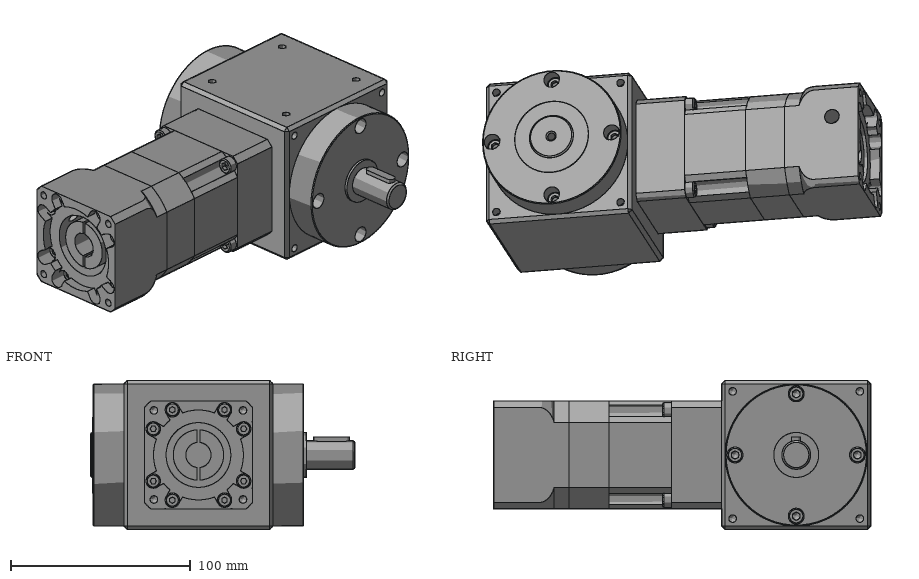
import cadquery as cq
import math


CUBE = 83.0
CUBE_CHAMFER = 2.0
FLANGE_DIA = 79.0
FLANGE_FACE = 58.5
FLANGE_RIM_CHAMFER = 0.5
COVER_DIA = 42.0
COVER_HEIGHT = 0.5
FLANGE_SCREW_CIRCLE = 68.0
FLANGE_SCREW_DEPTH = 8.0
SIDE_TAP_CIRCLE = 100.0
TOP_TAP_CIRCLE = 80.0
TAP_DEPTH = 8.0

TAP_DIA = 4.2
DRILL_POINT_ANGLE = 118.0
LARGE_HEAD_DIA = 8.8
LARGE_SOCKET_FLATS = 4.0
SMALL_HEAD_DIA = 8.0
SMALL_SOCKET_FLATS = 3.0
HEAD_HEIGHT = 5.0
HEAD_CHAMFER = 0.7
SOCKET_DEPTH = 2.5

JOURNAL_DIA = 25.0
JOURNAL_HALF = 60.0
JOURNAL_CHAMFER = 0.8
SHAFT_DIA = 16.0
SHAFT_END = 87.0
SHAFT_CHAMFER = 1.0
KEY_LENGTH = 20.0
KEY_WIDTH = 5.0
KEY_HEIGHT = 5.0
KEY_TOP = 10.0
KEY_END_GAP = 3.0
CENTRE_HOLE_DEPTH = 10.0
CENTRE_HOLE_CHAMFER = 0.8

SQUARE = 60.0
WIDE_CORNER_DIA = 80.0
NARROW_CORNER_DIA = 70.0
CORNER_SCREW_CIRCLE = 70.0
OVERALL_LENGTH = 209.7
ADAPTER_FRONT = -69.3
GROOVED_FRONT = -104.1
RING_FRONT = -126.3
SHOULDER = -134.5
MOTOR_FACE = CUBE / 2 - OVERALL_LENGTH
SHOULDER_ROUND = 10.0

PILOT_DIA = 50.0
PILOT_DEPTH = 5.5
RECESS_DIA = 36.0
RECESS_DEPTH = 30.0
MOTOR_SCREW_CIRCLE = 58.0
MOTOR_SCREW_ANGLES = (30, 60)
MOTOR_SCREW_DEPTH = 9.0
ACCESS_DIA = 8.2
ACCESS_FROM_FACE = 15.0
ACCESS_Z = 10.0

HUB_DIA = 28.0
HUB_BORE = 14.0
HUB_FACE_DEPTH = 6.5
HUB_SLIT_WIDTH = 1.5
HUB_BASE_THICKNESS = 5.0

X_DIR = cq.Vector(1, 0, 0)
Y_DIR = cq.Vector(0, 1, 0)
Z_DIR = cq.Vector(0, 0, 1)


def cylinder(dia, start, end, direction):
    """Cylinder on a main axis, from one coordinate on that axis to a higher one."""
    return cq.Workplane(cq.Solid.makeCylinder(dia / 2, end - start, direction * start, direction))


def place(shape, point, direction):
    """Move a shape built along +Z so that its axis runs from point along direction."""
    return cq.Workplane(shape.val().located(cq.Plane(origin=point, normal=direction).location))


def diagonal_points(circle_dia):
    """The four 45-degree points of a hole circle."""
    offset = circle_dia / 2 * math.sqrt(0.5)
    return [(a * offset, b * offset) for a in (-1, 1) for b in (-1, 1)]


def drilled_hole(depth):
    """Blind tapping hole along +Z that ends in a drill point."""
    radius = TAP_DIA / 2
    point_length = radius / math.tan(math.radians(DRILL_POINT_ANGLE / 2))
    profile = cq.Workplane("XZ").polyline([(0, 0), (radius, 0), (radius, depth), (0, depth + point_length)])
    return profile.close().revolve(360, (0, 0), (0, 1))


def screw_head(dia, socket_flats):
    """Socket head that stands on z = 0, its hexagon socket opening at the top."""
    head = cq.Workplane().circle(dia / 2).extrude(HEAD_HEIGHT).faces(">Z").chamfer(HEAD_CHAMFER)
    socket_corners = socket_flats / math.cos(math.pi / 6)
    return head.faces(">Z").workplane().polygon(6, socket_corners).cutBlind(-SOCKET_DEPTH)


def sunk_screw(dia, socket_flats, depth):
    """Cutter along +Z for a hole with a screw head at its bottom, its top at the given depth."""
    hole = cq.Workplane().circle(dia / 2).extrude(depth + HEAD_HEIGHT)
    head = screw_head(dia, socket_flats).rotate((0, 0, 0), (1, 0, 0), 180)
    return hole.cut(head.translate((0, 0, depth + HEAD_HEIGHT)))


def square_section(corner_dia, front, back):
    """Square bar along Y with its corners turned to a diameter."""
    bar = cq.Workplane().box(SQUARE, back - front, SQUARE).translate((0, (front + back) / 2, 0))
    return bar.intersect(cylinder(corner_dia, front, back, Y_DIR))


def output_flange(side):
    """Round flange on the +X or -X side of the cube, with four sunk screws."""
    direction = X_DIR * side
    flange = cylinder(FLANGE_DIA, 0, FLANGE_FACE, direction)
    flange = flange.faces(">X" if side > 0 else "<X").chamfer(FLANGE_RIM_CHAMFER)
    if side < 0:
        flange = flange.union(cylinder(COVER_DIA, 0, FLANGE_FACE + COVER_HEIGHT, direction))
    screw = sunk_screw(LARGE_HEAD_DIA, LARGE_SOCKET_FLATS, FLANGE_SCREW_DEPTH)
    screw = screw.union(drilled_hole(FLANGE_SCREW_DEPTH + SOCKET_DEPTH))
    radius = FLANGE_SCREW_CIRCLE / 2
    for y, z in ((radius, 0), (-radius, 0), (0, radius), (0, -radius)):
        flange = flange.cut(place(screw, (side * FLANGE_FACE, y, z), direction * -1))
    return flange


def gearbox_housing():
    """Cube, output flanges, input adapter and the adapter's four corner screws."""
    body = cq.Workplane().box(CUBE, CUBE, CUBE).edges().chamfer(CUBE_CHAMFER)
    for side in (-1, 1):
        body = body.union(output_flange(side))
    body = body.union(square_section(WIDE_CORNER_DIA, ADAPTER_FRONT, 0))
    tap = drilled_hole(TAP_DEPTH)
    for y, z in diagonal_points(SIDE_TAP_CIRCLE):
        for side in (-1, 1):
            body = body.cut(place(tap, (side * CUBE / 2, y, z), X_DIR * -side))
    for x, y in diagonal_points(TOP_TAP_CIRCLE):
        body = body.cut(place(tap, (x, y, CUBE / 2), Z_DIR * -1))
    head = screw_head(LARGE_HEAD_DIA, LARGE_SOCKET_FLATS)
    for x, z in diagonal_points(CORNER_SCREW_CIRCLE):
        body = body.union(place(head, (x, ADAPTER_FRONT, z), Y_DIR * -1))
    return body.cut(cylinder(JOURNAL_DIA, -JOURNAL_HALF, JOURNAL_HALF, X_DIR))


def output_shaft():
    """Journal through the housing and shaft end with its key, as one piece."""
    journal = cylinder(JOURNAL_DIA, -JOURNAL_HALF, JOURNAL_HALF, X_DIR).faces("<X").chamfer(JOURNAL_CHAMFER)
    shaft = journal.union(cylinder(SHAFT_DIA, 0, SHAFT_END, X_DIR).faces(">X").chamfer(SHAFT_CHAMFER))
    key_x = SHAFT_END - KEY_END_GAP - KEY_LENGTH / 2
    key = cq.Workplane().slot2D(KEY_LENGTH, KEY_WIDTH).extrude(-KEY_HEIGHT).translate((key_x, 0, KEY_TOP))
    centre_hole = drilled_hole(CENTRE_HOLE_DEPTH)
    countersink = cq.Workplane(
        cq.Solid.makeCone(TAP_DIA / 2 + CENTRE_HOLE_CHAMFER, TAP_DIA / 2, CENTRE_HOLE_CHAMFER)
    )
    cutter = centre_hole.union(countersink)
    return shaft.union(key).cut(place(cutter, (-JOURNAL_HALF, 0, 0), X_DIR))


def grooved_ring():
    """Ring gear with a round groove in each corner that clears the adapter's screws."""
    ring = square_section(NARROW_CORNER_DIA, GROOVED_FRONT, ADAPTER_FRONT)
    groove = cylinder(LARGE_HEAD_DIA, GROOVED_FRONT, ADAPTER_FRONT, Y_DIR)
    for x, z in diagonal_points(CORNER_SCREW_CIRCLE):
        ring = ring.cut(groove.translate((x, 0, z)))
    return ring


def plain_ring():
    """Ring gear with the same outline but no grooves."""
    return square_section(NARROW_CORNER_DIA, RING_FRONT, GROOVED_FRONT)


def motor_flange():
    """Square flange with a pilot bore, a recess for the hub, sunk screws and tapped corners."""
    corner_step = (WIDE_CORNER_DIA - NARROW_CORNER_DIA) / 2
    round_reach = math.sqrt(SHOULDER_ROUND**2 - (SHOULDER_ROUND - corner_step) ** 2)
    wide_back = SHOULDER - round_reach + SHOULDER_ROUND
    turned = cylinder(WIDE_CORNER_DIA, MOTOR_FACE, wide_back, Y_DIR)
    turned = turned.faces(">Y").edges().fillet(SHOULDER_ROUND)
    turned = turned.intersect(cylinder(WIDE_CORNER_DIA, MOTOR_FACE, SHOULDER, Y_DIR))
    turned = turned.union(cylinder(NARROW_CORNER_DIA, MOTOR_FACE, RING_FRONT, Y_DIR))
    length = RING_FRONT - MOTOR_FACE
    flange = cq.Workplane().box(SQUARE, length, SQUARE).translate((0, MOTOR_FACE + length / 2, 0))
    flange = flange.intersect(turned)

    flange = flange.cut(cylinder(PILOT_DIA, MOTOR_FACE, MOTOR_FACE + PILOT_DEPTH, Y_DIR))
    flange = flange.cut(cylinder(RECESS_DIA, MOTOR_FACE, MOTOR_FACE + RECESS_DEPTH, Y_DIR))

    radius = MOTOR_SCREW_CIRCLE / 2
    screw = sunk_screw(SMALL_HEAD_DIA, SMALL_SOCKET_FLATS, MOTOR_SCREW_DEPTH)
    screw = place(screw, (radius, MOTOR_FACE, 0), Y_DIR)
    slot = cq.Workplane().box(radius, PILOT_DEPTH, SMALL_HEAD_DIA)
    slot = slot.translate((radius / 2, MOTOR_FACE + PILOT_DEPTH / 2, 0))
    for quarter in range(4):
        for start in MOTOR_SCREW_ANGLES:
            angle = start + 90 * quarter
            for cutter in (screw, slot):
                flange = flange.cut(cutter.rotate((0, 0, 0), (0, 1, 0), angle))
    tap = drilled_hole(TAP_DEPTH)
    for x, z in diagonal_points(CORNER_SCREW_CIRCLE):
        flange = flange.cut(place(tap, (x, MOTOR_FACE, z), Y_DIR))

    access = cylinder(ACCESS_DIA, -SQUARE / 2, 0, X_DIR)
    return flange.cut(access.translate((0, MOTOR_FACE + ACCESS_FROM_FACE, ACCESS_Z)))


def clamping_hub():
    """Bored and slit clamp on a base disc that fills the bottom of the recess."""
    face = MOTOR_FACE + HUB_FACE_DEPTH
    back = MOTOR_FACE + RECESS_DEPTH
    base_front = back - HUB_BASE_THICKNESS
    hub = cylinder(HUB_DIA, face, base_front, Y_DIR).cut(cylinder(HUB_BORE, face, base_front, Y_DIR))
    slit_depth = base_front - face
    slit = cq.Workplane().box(HUB_SLIT_WIDTH, slit_depth, HUB_DIA)
    hub = hub.cut(slit.translate((0, face + slit_depth / 2, 0)))
    return hub.union(cylinder(RECESS_DIA, base_front, back, Y_DIR))


housing = gearbox_housing()
shaft = output_shaft()
first_ring = grooved_ring()
second_ring = plain_ring()
flange = motor_flange()
hub = clamping_hub()

result = cq.Compound.makeCompound(
    [housing.val(), shaft.val(), first_ring.val(), second_ring.val(), flange.val(), hub.val()]
)